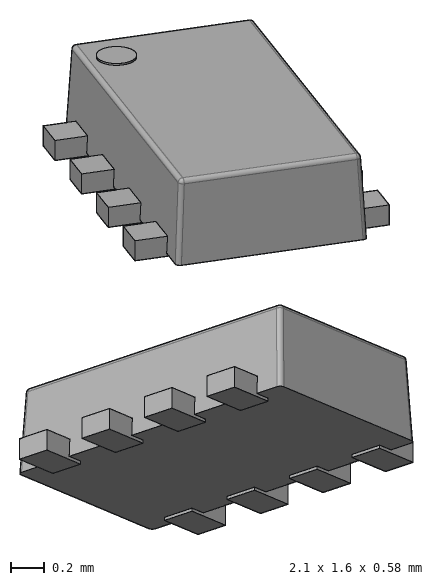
import cadquery as cq

body_length = 2.1
body_width = 1.201
body_height = 0.548
standoff = 0.02
draft_angle = 3.0
edge_radius = 0.03

leads_per_side = 4
lead_pitch = 0.5
lead_width = 0.22
lead_length = 0.3
lead_height = 0.132
lead_span = 1.6

marker_diameter = 0.242
marker_height = 0.012
marker_x = -0.755
marker_y = -0.374

first_lead_x = -lead_pitch * (leads_per_side - 1) / 2
lead_center_y = (lead_span - lead_length) / 2
body_top = standoff + body_height


def make_body():
    """Drafted block with rounded corners and a rounded top rim."""
    return (
        cq.Workplane("XY")
        .workplane(offset=standoff)
        .rect(body_length, body_width)
        .extrude(body_height, taper=draft_angle)
        .edges("not(<Z)")
        .fillet(edge_radius)
    )


def make_leads():
    """Two opposite rows of rectangular leads resting on the seating plane."""
    centers = [
        (first_lead_x + lead_pitch * index, side * lead_center_y)
        for side in (-1, 1)
        for index in range(leads_per_side)
    ]
    return (
        cq.Workplane("XY")
        .pushPoints(centers)
        .rect(lead_width, lead_length)
        .extrude(lead_height)
    )


def make_marker():
    """Thin raised disc on the body top, beside the first lead."""
    return (
        cq.Workplane("XY")
        .workplane(offset=body_top)
        .center(marker_x, marker_y)
        .circle(marker_diameter / 2)
        .extrude(marker_height)
    )


result = make_body().union(make_leads()).union(make_marker())